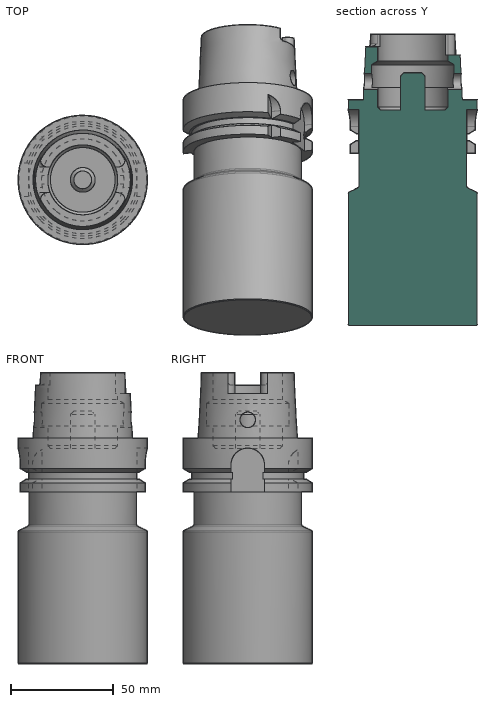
import cadquery as cq
import math

total_height = 141.9
body_radius = 63.0 / 2
body_bottom_chamfer = 0.4
body_edge_z = 64.8
body_edge_fillet = 1.0
neck_radius = 52.5 / 2
neck_bottom_z = 67.4
neck_bottom_fillet = 1.0

flange_bottom_z = 83.9
flange_top_z = 110.0
groove_radius = 27.4
groove_bottom_z = 90.1
groove_top_z = 93.4
groove_flare_height = 1.8
groove_side_flat = 1.1

taper_base_radius = 24.3
taper_ratio = 0.05
taper_top_radius = taper_base_radius - taper_ratio * (total_height - flange_top_z)

bore_radius = 34.0 / 2
chamber_radius = 40.0 / 2
floor_radius = 15.8
shoulder_angle = math.radians(30)
mouth_bottom_z = 128.7
chamber_top_z = mouth_bottom_z - (chamber_radius - bore_radius) * math.tan(shoulder_angle)
chamber_bottom_z = 115.8
floor_z = 105.0
floor_flare_height = 1.4
boss_radius = 12.0 / 2
boss_top_z = 123.2
boss_chamfer = 1.7

rim_slot_width = 12.5
rim_slot_lip_radius = 3.4
rim_slot_depth_left = 6.1
rim_slot_depth_right = 10.1
rim_slot_floor_fillet = 1.5
cross_hole_diameter = 7.5
cross_hole_z = 118.9

flange_slot_width = 16.3
flange_slot_top_z = 105.1
flange_slot_floor = 26.4
notch_center_y = 28.0
notch_floor = 19.9


def make_body():
    profile = [
        (0, 0),
        (body_radius - body_bottom_chamfer, 0),
        (body_radius, body_bottom_chamfer),
        (body_radius, body_edge_z),
        (neck_radius, neck_bottom_z),
        (neck_radius, flange_bottom_z),
        (body_radius, flange_bottom_z),
        (body_radius, groove_bottom_z - groove_flare_height),
        (groove_radius + groove_side_flat, groove_bottom_z),
        (groove_radius, groove_bottom_z),
        (groove_radius, groove_top_z),
        (groove_radius + groove_side_flat, groove_top_z),
        (body_radius, groove_top_z + groove_flare_height),
        (body_radius, flange_top_z),
        (taper_base_radius, flange_top_z),
        (taper_top_radius, total_height),
        (0, total_height),
    ]
    body = cq.Workplane("XZ").polyline(profile).close().revolve(360, (0, 0), (0, 1))
    body = body.edges(circle_at(body_radius, body_edge_z)).fillet(body_edge_fillet)
    return body.edges(circle_at(neck_radius, neck_bottom_z)).fillet(neck_bottom_fillet)


def circle_at(radius, z):
    """Box selector around the level of one edge circle of the body."""
    margin = 0.1
    reach = radius + margin
    low_corner = (-reach, -reach, z - margin)
    high_corner = (reach, reach, z + margin)
    return cq.selectors.BoxSelector(low_corner, high_corner, boundingbox=True)


def make_bore():
    profile = [
        (0, floor_z),
        (floor_radius, floor_z),
        (bore_radius, floor_z + floor_flare_height),
        (bore_radius, chamber_bottom_z),
        (chamber_radius, chamber_bottom_z),
        (chamber_radius, chamber_top_z),
        (bore_radius, mouth_bottom_z),
        (bore_radius, total_height),
        (0, total_height),
    ]
    bore = cq.Workplane("XZ").polyline(profile).close().revolve(360, (0, 0), (0, 1))
    boss = cq.Workplane("XY").workplane(offset=floor_z).circle(boss_radius).extrude(boss_top_z - floor_z)
    boss = boss.faces(">Z").chamfer(boss_chamfer)
    return bore.cut(boss)


def make_rim_slot(side, depth):
    """Slot on the side -1 (-X) or +1 (+X), flaring outward round the lips."""
    half_width = rim_slot_width / 2
    r = rim_slot_lip_radius
    flare_x = math.sqrt(taper_top_radius**2 - (half_width + r) ** 2)
    outline = (
        cq.Workplane("XY")
        .workplane(offset=total_height - depth)
        .moveTo(0, -half_width)
        .lineTo(side * (flare_x - r), -half_width)
        .radiusArc((side * flare_x, -half_width - r), side * r)
        .lineTo(side * body_radius, -half_width - r)
        .lineTo(side * body_radius, half_width + r)
        .lineTo(side * flare_x, half_width + r)
        .radiusArc((side * (flare_x - r), half_width), side * r)
        .lineTo(0, half_width)
        .close()
    )
    return outline.extrude(depth)


def make_left_rim_slot():
    """Slot at -X: floor fillet under the flared lips, sharp corners along the straight walls."""
    flare = make_rim_slot(-1, rim_slot_depth_left).faces("<Z").edges().fillet(rim_slot_floor_fillet)
    straight = (
        cq.Workplane("XY")
        .workplane(offset=total_height - rim_slot_depth_left)
        .center(-body_radius / 2, 0)
        .rect(body_radius, rim_slot_width)
        .extrude(rim_slot_depth_left)
    )
    return flare.union(straight)


def make_flange_slot(side, center_y, floor):
    """Round-topped cutter outside the flat floor at X = side * floor."""
    half_width = flange_slot_width / 2
    spring_z = flange_slot_top_z - half_width
    outline = (
        cq.Workplane("YZ")
        .workplane(offset=side * floor)
        .moveTo(center_y - half_width, flange_bottom_z)
        .lineTo(center_y - half_width, spring_z)
        .threePointArc((center_y, flange_slot_top_z), (center_y + half_width, spring_z))
        .lineTo(center_y + half_width, flange_bottom_z)
        .close()
    )
    return outline.extrude(side * (body_radius - floor))


def make_cross_hole():
    """Drill through both shank walls, leaving the central boss whole."""
    drill = cq.Workplane("YZ").center(0, cross_hole_z).circle(cross_hole_diameter / 2)
    boss_zone = cq.Workplane("XY").circle(bore_radius).extrude(total_height)
    return drill.extrude(taper_base_radius, both=True).cut(boss_zone)


result = (
    make_body()
    .cut(make_bore())
    .cut(make_left_rim_slot())
    .cut(make_rim_slot(1, rim_slot_depth_right))
    .cut(make_cross_hole())
    .cut(make_flange_slot(-1, 0, flange_slot_floor))
    .cut(make_flange_slot(1, 0, flange_slot_floor))
    .cut(make_flange_slot(-1, notch_center_y, notch_floor))
)